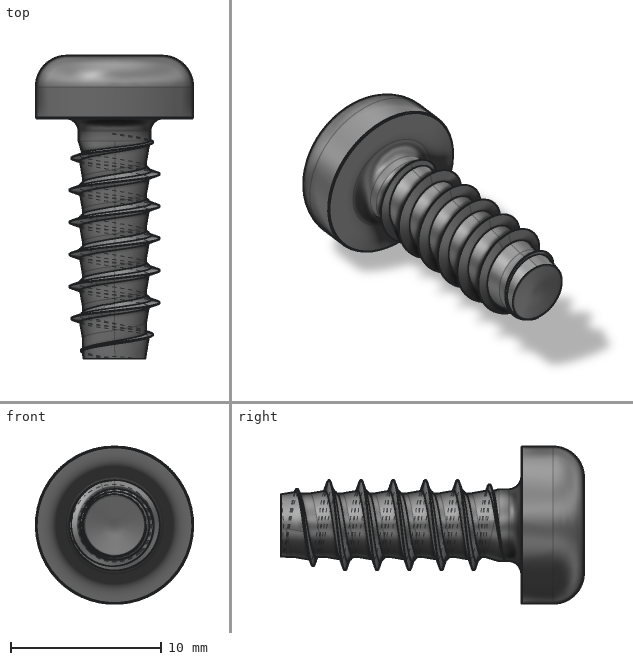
import cadquery as cq
import math


head_radius = 5.25
head_height = 4.2
dome_radius = 2.1
head_edge_chamfer = 0.08

total_length = 20.2
tip_y = head_height - total_length
neck_radius = 2.4
neck_fillet = 0.83
neck_end_y = -1.47
neck_cone_end_y = -2.42
core_radius = 2.12
overrun = 3.03

tip_radius = 2.05
tip_taper = 0.17
dimple_radius = 1.98
dimple_depth = 0.18

pitch = 2.15
reference_y = -3.7
first_turn = -1.75
turn_count = 8
last_turn = first_turn + turn_count
full_depth_start = -0.3
full_depth_end = 4.3
sink_per_turn = 0.63
points_per_turn = 16

crest_radius = 3.0
crest_half_width = 0.02
foot_radius = 1.82
upper_kink_offset = 0.2
upper_kink_radius = 2.45
upper_foot_offset = 0.8
lower_kink_offset = -0.26
lower_kink_radius = 2.28
lower_foot_offset = -0.45
tooth_section = [
    (crest_half_width, crest_radius),
    (upper_kink_offset, upper_kink_radius),
    (upper_foot_offset, foot_radius),
    (lower_foot_offset, foot_radius),
    (lower_kink_offset, lower_kink_radius),
    (-crest_half_width, crest_radius),
]

skirt_radius = 2.35
skirt_end_radius = 2.04
skirt_foot_radius = 1.62
skirt_length = 1.74
skirt_section = [
    (0, skirt_radius),
    (0, skirt_foot_radius),
    (-skirt_length, skirt_foot_radius),
    (-skirt_length, skirt_end_radius),
]


def tooth_sink(turn):
    """Inward shift of the tooth: zero at full depth, growing linearly towards both thread ends."""
    return sink_per_turn * max(full_depth_start - turn, turn - full_depth_end, 0)


def skirt_sink(turn):
    """The skirt keeps its depth over the whole thread."""
    return 0


def helix_point(offset, radius, turn, sink):
    """Point of a right-handed helix advancing along -Y, shifted inwards by sink(turn)."""
    angle = 2 * math.pi * turn
    r = radius - sink(turn)
    return cq.Vector(r * math.cos(angle), reference_y - pitch * turn + offset, r * math.sin(angle))


def helix_edge(offset, radius, start, end, sink):
    steps = math.ceil((end - start) * points_per_turn)
    turns = [start + (end - start) * i / steps for i in range(steps + 1)]
    return cq.Edge.makeSpline([helix_point(offset, radius, turn, sink) for turn in turns])


def end_cap(section, turn, sink):
    corners = [helix_point(offset, radius, turn, sink) for offset, radius in section]
    return cq.Face.makeFromWires(cq.Wire.makePolygon(corners, close=True))


def helical_ridge(section, sink, run_out_turns):
    """Solid whose section winds along the helix, built turn by turn and split at its run-outs."""
    whole_turns = [first_turn + i for i in range(turn_count + 1)]
    breaks = sorted(whole_turns + run_out_turns)
    faces = [end_cap(section, first_turn, sink), end_cap(section, last_turn, sink)]
    for start, end in zip(breaks, breaks[1:]):
        edges = [helix_edge(offset, radius, start, end, sink) for offset, radius in section]
        for edge, next_edge in zip(edges, edges[1:] + edges[:1]):
            faces.append(cq.Face.makeRuledSurface(edge, next_edge))
    ridge = cq.Solid.makeSolid(cq.Shell.makeShell(faces))
    return cq.Workplane(ridge.fix())


def revolve_about_axis(profile):
    """Revolve a closed (y, radius) profile about the screw axis."""
    return profile.close().revolve(360, (0, 0, 0), (1, 0, 0))


def head_and_core():
    arc_inset = 1 - math.sqrt(0.5)
    dome_inset = dome_radius * arc_inset
    fillet_inset = neck_fillet * arc_inset
    profile = (
        cq.Workplane("YZ")
        .moveTo(head_height, 0)
        .lineTo(head_height, head_radius - dome_radius)
        .threePointArc(
            (head_height - dome_inset, head_radius - dome_inset),
            (head_height - dome_radius, head_radius),
        )
        .lineTo(head_edge_chamfer, head_radius)
        .lineTo(0, head_radius - head_edge_chamfer)
        .lineTo(0, neck_radius + neck_fillet)
        .threePointArc((-fillet_inset, neck_radius + fillet_inset), (-neck_fillet, neck_radius))
        .lineTo(neck_end_y, neck_radius)
        .lineTo(neck_cone_end_y, core_radius)
        .lineTo(tip_y - overrun, core_radius)
        .lineTo(tip_y - overrun, 0)
    )
    return revolve_about_axis(profile)


def outside_tip_cone():
    """Ring around the tip whose inner wall is the tip cone; it clears the skirt everywhere else."""
    upper_radius = skirt_radius + 0.2
    upper_y = tip_y + (upper_radius - tip_radius) / tip_taper
    lower_y = tip_y - 2 * overrun
    lower_radius = tip_radius - 2 * overrun * tip_taper
    profile = (
        cq.Workplane("YZ")
        .moveTo(upper_y, upper_radius)
        .lineTo(lower_y, lower_radius)
        .lineTo(lower_y, upper_radius)
    )
    return revolve_about_axis(profile)


def beyond_tip():
    """Everything past the tip face, including the shallow conical dimple."""
    lower_y = tip_y - 2 * overrun
    profile = (
        cq.Workplane("YZ")
        .moveTo(tip_y + dimple_depth, 0)
        .lineTo(tip_y, dimple_radius)
        .lineTo(tip_y, head_radius)
        .lineTo(lower_y, head_radius)
        .lineTo(lower_y, 0)
    )
    return revolve_about_axis(profile)


skirt = helical_ridge(skirt_section, skirt_sink, [])
tooth = helical_ridge(tooth_section, tooth_sink, [full_depth_start, full_depth_end])

result = head_and_core().union(skirt).cut(outside_tip_cone()).union(tooth).cut(beyond_tip())